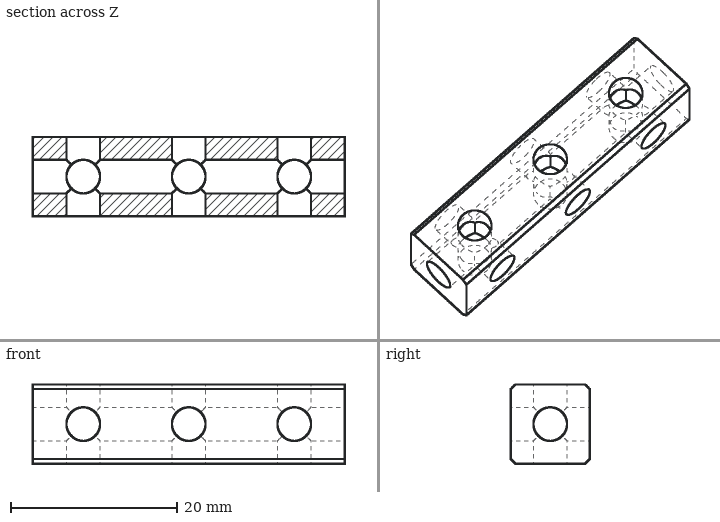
import cadquery as cq

length = 37.6
side = 9.55
edge_chamfer = 0.55

hole_diameter = 4.02
hole_pitch = 12.7
cross_hole_count = 3


def chamfered_bar():
    """Square bar with its four long edges chamfered."""
    return cq.Workplane("XY").box(length, side, side).edges("|X").chamfer(edge_chamfer)


def cross_holes(plane):
    """Row of evenly spaced cylinders through the bar, normal to the plane."""
    return (
        cq.Workplane(plane)
        .rarray(hole_pitch, side, cross_hole_count, 1)
        .circle(hole_diameter / 2)
        .extrude(side, both=True)
    )


def long_hole():
    """Cylinder through the whole length of the bar."""
    return cq.Workplane("YZ").circle(hole_diameter / 2).extrude(length, both=True)


result = chamfered_bar().cut(long_hole())
for plane in ("XY", "XZ"):
    result = result.cut(cross_holes(plane))